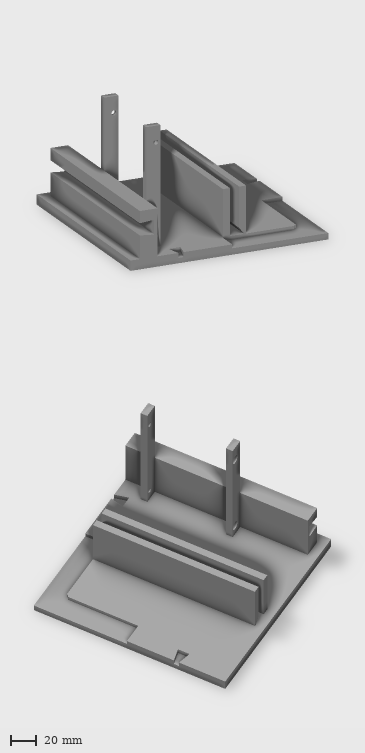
import cadquery as cq

side = 170.0
base_height = 8.5

margin = 8.0
rail_height = 39.6
rail_depth = 15.1
rail_web = 2.9
slot_center = 24.5
slot_mouth_height = 10.0
slot_back_height = 11.7
slot_flat_depth = 2.5

post_positions = (68.0, 143.8)
post_hole_diameter = 4.0
counterbore_diameter = 7.5
counterbore_depth = 3.0
post_thickness = 6.0
post_depth = 12.0
post_height = 100.0
post_hole_heights = (9.5, 86.2)
post_hole_setback = 8.2

wall_starts = (88.0, 102.0)
wall_thickness = 6.0
undercut_depth = 4.5
undercut_height = 5.6

recess_width = 18.2
recess_length = 82.6
recess_depth = 3.2
relief_diameter = 4.0

dovetail_center = 43.4
dovetail_length = 11.7
dovetail_mouth = 4.6
dovetail_width = 10.2
dovetail_depth = 4.0

rail_back = margin + rail_depth
recess_edge = side - recess_width


def extrude_along_x(points, start, length):
    """Extrude a (Y, Z) outline along X."""
    return cq.Workplane("YZ").workplane(offset=start).polyline(points).close().extrude(length)


def make_rail():
    top = base_height + rail_height
    slot_back = rail_back - rail_web
    slot_flat_start = slot_back - slot_flat_depth
    slot_z = base_height + slot_center
    outline = [
        (margin, 0),
        (rail_back, 0),
        (rail_back, top),
        (margin, top),
        (margin, slot_z + slot_mouth_height / 2),
        (slot_flat_start, slot_z + slot_back_height / 2),
        (slot_back, slot_z + slot_back_height / 2),
        (slot_back, slot_z - slot_back_height / 2),
        (slot_flat_start, slot_z - slot_back_height / 2),
        (margin, slot_z - slot_mouth_height / 2),
    ]
    return extrude_along_x(outline, margin, side - margin)


def post_hole_plane(start_x):
    """Plane facing +X with the hole centers of a post selected."""
    hole_y = rail_back + post_hole_setback
    hole_centers = [(hole_y, base_height + height) for height in post_hole_heights]
    return cq.Workplane("YZ").workplane(offset=start_x).pushPoints(hole_centers)


def make_post(start_x):
    post = cq.Workplane("XY").box(
        post_thickness, post_depth, base_height + post_height, centered=False
    ).translate((start_x, rail_back, 0))
    return post.cut(post_hole_plane(start_x).circle(post_hole_diameter / 2).extrude(post_thickness))


def make_counterbores(start_x):
    """Screw-head seats on the -X face of a post."""
    return post_hole_plane(start_x).circle(counterbore_diameter / 2).extrude(counterbore_depth)


def make_wall(start_y):
    return cq.Workplane("XY").box(
        recess_edge - margin, wall_thickness, base_height + rail_height, centered=False
    ).translate((margin, start_y, 0))


def make_undercut():
    face_y = wall_starts[1]
    outline = [
        (face_y, base_height),
        (face_y + undercut_depth, base_height),
        (face_y, base_height + undercut_height),
    ]
    return extrude_along_x(outline, margin, recess_edge - margin)


def make_recess():
    floor = base_height - recess_depth
    recess_start = side - recess_length
    outline = [
        (recess_start, side),
        (recess_start, recess_edge),
        (recess_edge, recess_edge),
        (recess_edge, recess_start),
        (side, recess_start),
        (side, side),
    ]
    plane = cq.Workplane("XY").workplane(offset=floor)
    pocket = plane.polyline(outline).close().extrude(recess_depth)
    relief = plane.center(recess_edge, recess_edge).circle(relief_diameter / 2).extrude(recess_depth)
    return pocket.union(relief)


def make_dovetail(swap_axes):
    """Pocket open at the +Y edge, or at the +X edge when the axes are swapped."""
    inner = side - dovetail_length
    outline = [
        (dovetail_center - dovetail_width / 2, inner),
        (dovetail_center + dovetail_width / 2, inner),
        (dovetail_center + dovetail_mouth / 2, side),
        (dovetail_center - dovetail_mouth / 2, side),
    ]
    if swap_axes:
        outline = [(y, x) for x, y in outline]
    plane = cq.Workplane("XY").workplane(offset=base_height - dovetail_depth)
    return plane.polyline(outline).close().extrude(dovetail_depth)


base = cq.Workplane("XY").box(side, side, base_height, centered=False)
base = base.cut(make_recess())
for swap_axes in (False, True):
    base = base.cut(make_dovetail(swap_axes))

result = base.union(make_rail())
for start_x in post_positions:
    result = result.union(make_post(start_x))
result = result.cut(make_counterbores(post_positions[0]))
for start_y in wall_starts:
    result = result.union(make_wall(start_y))
result = result.cut(make_undercut())